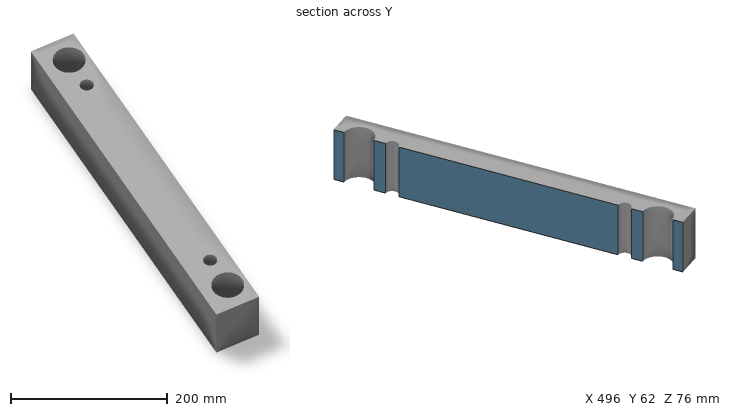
import cadquery as cq

length = 496.0
width = 62.0
height = 76.0

large_hole_diameter = 42.0
large_hole_spacing = 424.0
small_hole_diameter = 18.0
small_hole_spacing = 330.0
hole_line_y = 5.0


def make_bar():
    return cq.Workplane("XY").box(length, width, height, centered=(True, True, False))


def drill_pair(body, diameter, spacing):
    """Drill two vertical through holes, spaced along X on the hole line."""
    half_spacing = spacing / 2
    drills = (
        cq.Workplane("XY")
        .pushPoints([(-half_spacing, hole_line_y), (half_spacing, hole_line_y)])
        .circle(diameter / 2)
        .extrude(height)
    )
    return body.cut(drills)


bar = make_bar()
bar = drill_pair(bar, large_hole_diameter, large_hole_spacing)
result = drill_pair(bar, small_hole_diameter, small_hole_spacing)